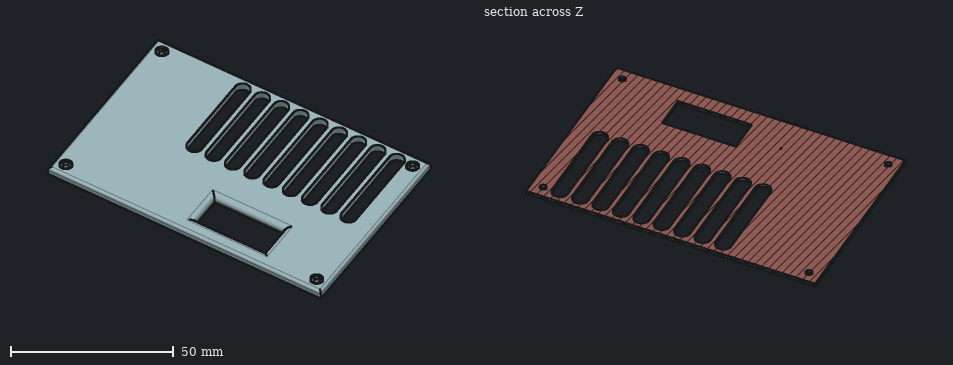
import cadquery as cq

LENGTH = 99.0
WIDTH = 64.0
TOTAL_HEIGHT = 4.5
PIN_HEIGHT = 1.5
THICKNESS = TOTAL_HEIGHT - PIN_HEIGHT
EDGE_RADIUS = 1.0

SCREW_INSET = 4.1
SCREW_DIAMETER = 2.0
SCREW_HEAD_DIAMETER = 4.0
SCREW_HEAD_DEPTH = 1.0

SLOT_COUNT = 9
SLOT_ROW_SPAN = 55.8
SLOT_PITCH = SLOT_ROW_SPAN / (SLOT_COUNT - 1)
SLOT_WIDTH = 5.0
SLOT_LENGTH = 32.9
FIRST_SLOT_X = -15.9
SLOT_CENTER_Y = 13.6

WINDOW_LENGTH = 25.0
WINDOW_WIDTH = 11.0
WINDOW_EDGE_RADIUS = 2.0
WINDOW_CENTER = (13.0, -20.5)
SELECTION_MARGIN = 0.1

PIN_DIAMETER = 5.0
PIN_SPACING = 43.0
PIN_CENTER = (11.9, -20.5)


def make_plate():
    """Rectangular plate with rounded top edges."""
    plate = cq.Workplane("XY").box(LENGTH, WIDTH, THICKNESS, centered=(True, True, False))
    return plate.faces(">Z").edges().fillet(EDGE_RADIUS)


def cut_screw_holes(plate):
    """Counterbored through hole in each corner."""
    return (
        plate.faces(">Z")
        .workplane(origin=(0, 0, THICKNESS))
        .rect(LENGTH - 2 * SCREW_INSET, WIDTH - 2 * SCREW_INSET, forConstruction=True)
        .vertices()
        .cboreHole(SCREW_DIAMETER, SCREW_HEAD_DIAMETER, SCREW_HEAD_DEPTH)
    )


def make_slots():
    """Round-ended cutters, evenly pitched along X and running along Y."""
    centers = [(FIRST_SLOT_X + i * SLOT_PITCH, SLOT_CENTER_Y) for i in range(SLOT_COUNT)]
    return cq.Workplane("XY").pushPoints(centers).slot2D(SLOT_LENGTH, SLOT_WIDTH, 90).extrude(THICKNESS)


def cut_window(plate):
    """Rectangular opening whose top edges are rounded outwards."""
    opening = cq.Workplane("XY").center(*WINDOW_CENTER).rect(WINDOW_LENGTH, WINDOW_WIDTH).extrude(THICKNESS)
    x, y = WINDOW_CENTER
    half_length = WINDOW_LENGTH / 2 + SELECTION_MARGIN
    half_width = WINDOW_WIDTH / 2 + SELECTION_MARGIN
    top_rim = cq.selectors.BoxSelector(
        (x - half_length, y - half_width, THICKNESS - SELECTION_MARGIN),
        (x + half_length, y + half_width, THICKNESS + SELECTION_MARGIN),
    )
    return plate.cut(opening).edges(top_rim).fillet(WINDOW_EDGE_RADIUS)


def make_pins():
    """Two round pins reaching down from the underside."""
    x, y = PIN_CENTER
    centers = [(x + side * PIN_SPACING / 2, y) for side in (-1, 1)]
    return cq.Workplane("XY").pushPoints(centers).circle(PIN_DIAMETER / 2).extrude(-PIN_HEIGHT)


result = cut_window(make_plate())
result = cut_screw_holes(result)
result = result.cut(make_slots()).union(make_pins())